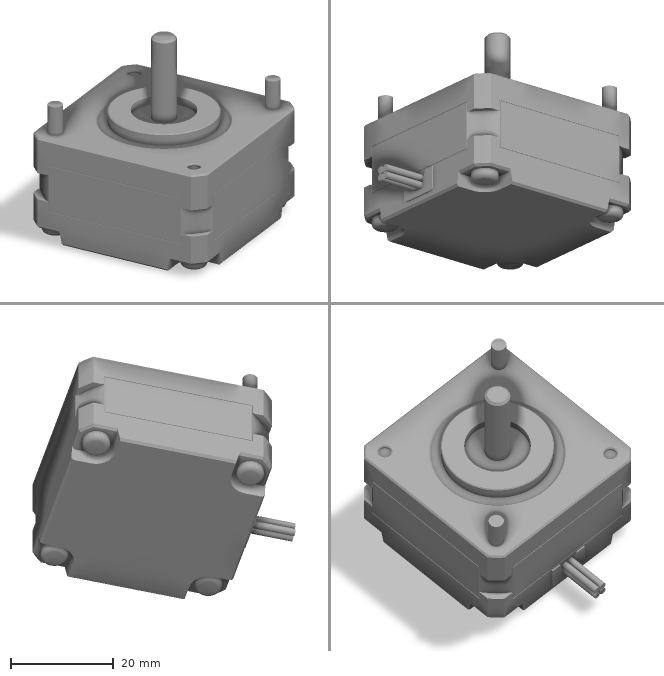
import cadquery as cq
import math

overall_length = 48.0
body_width = 39.0
body_height = 21.95
corner_radius = 25.95
top_chamfer = 0.35
bottom_chamfer = 0.5
half_width = body_width / 2

waist_radius = 24.45
waist_bottom = 8.8
waist_top = 14.45
clearance_radius = 24.7
clearance_rise = 0.15

frame_width = 29.95
frame_bottom = 6.65
frame_top = 16.65
groove_width = 0.2
groove_depth = 0.1

screw_offset = 15.5
notch_depth = 2.5
notch_radius = 3.15
notch_taper = 12
screw_head_radius = 2.7
screw_rim_height = 1.7
screw_dome_rise = 0.35
screw_head_fillet = 0.95

stud_radius = 1.5
stud_top = 28.05
stud_root = 0.95
hole_radius = 1.25
hole_depth = 0.6
hole_chamfer = 0.25

recess_radius = 13.25
recess_floor_radius = 12.85
recess_depth = 0.4
recess_floor = body_height - recess_depth
flange_radius = 11.0
flange_top = 24.0
flange_chamfer = 0.2
bore_radius = 6.5
bore_depth = 1.7
bore_floor = flange_top - bore_depth
shaft_radius = 2.5
shaft_top = 40.0
shaft_chamfer = 0.5

plate_width = 8.75
plate_bottom = 1.45
plate_top = 6.45
plate_thickness = 0.35
plate_corner_radius = 0.75
opening_top_width = 4.55
opening_bottom_width = 2.4
wire_radius = 0.7
wire_pitch = 1.55
wire_center_z = 4.25
wire_root = 0.95
wire_end_y = overall_length - half_width

screw_signs = [(1, 1), (-1, 1), (-1, -1), (1, -1)]
stud_signs = [(1, 1), (-1, -1)]
hole_signs = [(1, -1), (-1, 1)]


def at_corners(signs):
    return [(sx * screw_offset, sy * screw_offset) for sx, sy in signs]


def disc(radius, bottom, top, points=((0, 0),)):
    """One upright cylinder at each point, between two heights."""
    return cq.Workplane().workplane(offset=bottom).pushPoints(points).circle(radius).extrude(top - bottom)


def square_block(bottom, top):
    """Square block with corners turned to a cylinder, chamfered along its bottom edges."""
    square = cq.Workplane().workplane(offset=bottom).rect(body_width, body_width).extrude(top - bottom)
    return square.intersect(disc(corner_radius, bottom, top)).faces("<Z").chamfer(bottom_chamfer)


def notch():
    """Tapered cutter for the (+X, +Y) corner, rounded about the screw axis and wider at the bottom."""
    height = notch_depth + bottom_chamfer
    mouth_radius = notch_radius + height * math.tan(math.radians(notch_taper))
    inner = screw_offset - mouth_radius
    outer = body_width
    middle = (inner + outer) / 2
    sketch = cq.Sketch().rect(outer - inner, outer - inner).vertices().fillet(mouth_radius)
    return cq.Workplane(origin=(middle, middle, 0)).placeSketch(sketch).extrude(height, taper=notch_taper)


def make_body():
    """Notched lower half joined to an upper part whose chamfered underside is the notch ceiling."""
    base = square_block(0, body_height / 2)
    for quarter in range(4):
        base = base.cut(notch().rotate((0, 0, 0), (0, 0, 1), 90 * quarter))
    upper = square_block(notch_depth, body_height).faces(">Z").chamfer(top_chamfer)
    return base.union(upper)


def ring(inner_radius, outer_radius, bottom, top):
    return disc(outer_radius, bottom, top).cut(disc(inner_radius, bottom, top))


def waist_cutter():
    """Turned band, with a slightly taller clearance next to the waist."""
    band = ring(waist_radius, body_width, waist_bottom, waist_top)
    clearance_bottom = waist_bottom - clearance_rise
    clearance_top = waist_top + clearance_rise
    clearance = ring(waist_radius, clearance_radius, clearance_bottom, clearance_top)
    return band.union(clearance)


def frame_cutter():
    """Groove cutter for the -Y side."""
    height = frame_top - frame_bottom
    face = cq.Workplane("XZ", origin=(0, -half_width, (frame_bottom + frame_top) / 2))
    outline = face.rect(frame_width, height)
    return outline.rect(frame_width - 2 * groove_width, height - 2 * groove_width).extrude(-groove_depth)


def screw_head():
    """Round head hanging below the notch ceiling, with a shallow dome and a rounded rim."""
    rim_z = notch_depth - screw_rim_height
    sphere_radius = (screw_head_radius**2 + screw_dome_rise**2) / (2 * screw_dome_rise)
    dome = cq.Workplane().sphere(sphere_radius).translate((0, 0, rim_z - screw_dome_rise + sphere_radius))
    head = disc(screw_head_radius, rim_z - screw_dome_rise, notch_depth).intersect(dome)
    return head.faces("<Z").edges().fillet(screw_head_fillet)


def frustum(bottom_radius, top_radius, bottom, top):
    lower = cq.Workplane().workplane(offset=bottom).circle(bottom_radius)
    return lower.workplane(offset=top - bottom).circle(top_radius).loft()


def threaded_hole():
    """Cutter for a blind hole with a countersunk mouth."""
    bore = disc(hole_radius, body_height - hole_depth, body_height)
    mouth = frustum(hole_radius, hole_radius + hole_chamfer, body_height - hole_chamfer, body_height)
    return bore.union(mouth)


def pilot_flange():
    return disc(flange_radius, recess_floor, flange_top).faces(">Z").chamfer(flange_chamfer)


def cable_outlet():
    """Clamp plate with a tapered opening, and four wires running out along +Y."""
    plate = (
        cq.Workplane("XZ", origin=(0, half_width, (plate_bottom + plate_top) / 2))
        .rect(plate_width, plate_top - plate_bottom)
        .extrude(-plate_thickness)
        .edges("|Y and <Z")
        .fillet(plate_corner_radius)
    )
    opening_bottom = wire_center_z - wire_pitch
    opening = (
        cq.Workplane("XZ", origin=(0, half_width, 0))
        .moveTo(-opening_top_width / 2, plate_top)
        .lineTo(opening_top_width / 2, plate_top)
        .lineTo(opening_bottom_width / 2, opening_bottom)
        .lineTo(-opening_bottom_width / 2, opening_bottom)
        .close()
        .extrude(-plate_thickness)
    )
    outlet = plate.cut(opening)
    for wire_x in (-wire_pitch / 2, wire_pitch / 2):
        for wire_z in (wire_center_z - wire_pitch / 2, wire_center_z + wire_pitch / 2):
            start = cq.Workplane("XZ", origin=(wire_x, half_width - wire_root, wire_z))
            wire = start.circle(wire_radius).extrude(half_width - wire_root - wire_end_y)
            outlet = outlet.union(wire)
    return outlet


result = make_body().cut(waist_cutter())
for side in range(4):
    result = result.cut(frame_cutter().rotate((0, 0, 0), (0, 0, 1), 90 * side))

for screw_x, screw_y in at_corners(screw_signs):
    result = result.union(screw_head().translate((screw_x, screw_y, 0)))
result = result.union(disc(stud_radius, body_height - stud_root, stud_top, at_corners(stud_signs)))
for hole_x, hole_y in at_corners(hole_signs):
    result = result.cut(threaded_hole().translate((hole_x, hole_y, 0)))

result = result.cut(frustum(recess_floor_radius, recess_radius, recess_floor, body_height))
result = result.union(pilot_flange())
result = result.cut(disc(bore_radius, bore_floor, flange_top))
shaft = disc(shaft_radius, bore_floor, shaft_top).faces(">Z").chamfer(shaft_chamfer)
result = result.union(shaft)

result = result.union(cable_outlet())